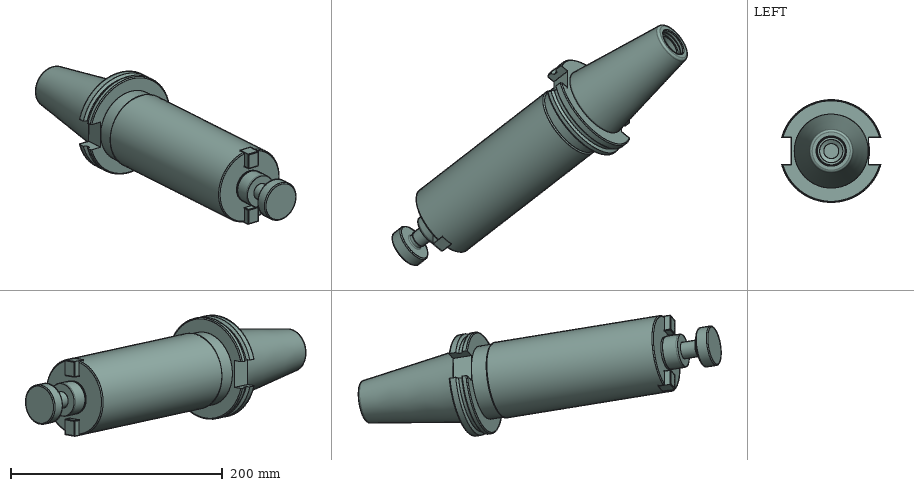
import cadquery as cq
import math


taper_length = 102.0
taper_diameter = 70.0
taper_slope = 7 / 48
taper_end_fillet = 2.5
taper_small_radius = taper_diameter / 2 - taper_slope * taper_length

flange_start = 102.5
flange_end = 121.0
flange_diameter = 97.2
flange_chamfer = 1.0
groove_center = 112.8
groove_floor_diameter = 91.2
groove_floor_width = 3.2
groove_wall_angle = 30

slot_height = 25.8
slot_floor_front = 35.5
slot_floor_back = 38.0

neck_diameter = 70.0
body_start = 135.8
body_end = 305.0
body_diameter = 72.5
body_chamfer = 1.0

pilot_end = 322.0
pilot_diameter = 32.0
pilot_chamfer_length = 1.5
pilot_end_diameter = 31.0
relief_diameter = 31.0
relief_length = 1.8

mouth_diameter = 28.5
recess_diameter = 27.0
recess_depth = 3.5
counterbore_diameter = 26.0
counterbore_depth = 6.5
drawbar_diameter = 22.0
drawbar_depth = 56.5
drawbar_floor_diameter = 14.0
drawbar_cone_angle = 60

key_start = 298.8
key_end = 311.5
key_width = 12.5
key_angles = (0, 180)
key_inner = 21.0
key_outer = 36.0
key_chamfer = 0.7

bolt_head_start = 341.2
bolt_end = 353.5
bolt_head_diameter = 38.0
bolt_head_chamfer = 1.0
bolt_shank_diameter = 16.0
bolt_shank_end = 336.5
bolt_neck_diameter = 14.5
bolt_neck_fillet = 1.0
bolt_insertion = 28.3
bolt_tip = pilot_end - bolt_insertion


def turned(points):
    """Solid of revolution about X from (x, radius) points, closed along the axis."""
    first_x = points[0][0]
    last_x = points[-1][0]
    outline = [(first_x, 0), *points, (last_x, 0)]
    return cq.Workplane("XY").polyline(outline).close().revolve(360, (0, 0), (1, 0))


def make_taper():
    taper = turned([(0, taper_small_radius), (taper_length, taper_diameter / 2)])
    return taper.faces("<X").edges().fillet(taper_end_fillet)


def make_flange():
    rim = flange_diameter / 2
    floor = groove_floor_diameter / 2
    half_floor = groove_floor_width / 2
    half_mouth = half_floor + (rim - floor) * math.tan(math.radians(groove_wall_angle))
    flange = turned([
        (flange_start, rim - flange_chamfer),
        (flange_start + flange_chamfer, rim),
        (groove_center - half_mouth, rim),
        (groove_center - half_floor, floor),
        (groove_center + half_floor, floor),
        (groove_center + half_mouth, rim),
        (flange_end - flange_chamfer, rim),
        (flange_end, rim - flange_chamfer),
    ])
    length = flange_end - flange_start
    for side, floor_distance in ((-1, slot_floor_front), (1, slot_floor_back)):
        slot_depth = flange_diameter / 2 - floor_distance
        slot_center = (flange_start + length / 2, side * (floor_distance + slot_depth / 2), 0)
        flange = flange.cut(cq.Workplane("XY").box(length, slot_depth, slot_height).translate(slot_center))
    return flange


def make_body_and_pilot():
    neck = neck_diameter / 2
    body = body_diameter / 2
    relief = relief_diameter / 2
    pilot = pilot_diameter / 2
    relief_end = body_end + relief_length
    return turned([
        (taper_length, neck),
        (body_start, neck),
        (body_start + body - neck, body),
        (body_end - body_chamfer, body),
        (body_end, body - body_chamfer),
        (body_end, relief),
        (relief_end, relief),
        (relief_end, pilot),
        (pilot_end - pilot_chamfer_length, pilot),
        (pilot_end, pilot_end_diameter / 2),
    ])


def make_drawbar_hole():
    counterbore = counterbore_diameter / 2
    mouth = mouth_diameter / 2
    recess = recess_diameter / 2
    bore = drawbar_diameter / 2
    floor = drawbar_floor_diameter / 2
    cone_length = (bore - floor) / math.tan(math.radians(drawbar_cone_angle))
    return turned([
        (0, mouth),
        (mouth - recess, recess),
        (recess_depth, recess),
        (recess_depth + recess - counterbore, counterbore),
        (counterbore_depth, counterbore),
        (counterbore_depth, bore),
        (drawbar_depth, bore),
        (drawbar_depth + cone_length, floor),
    ])


def key_block(outer):
    """Block with the length and width of a key, from the inner key face out to the given distance."""
    length = key_end - key_start
    height = outer - key_inner
    center = (key_start + length / 2, 0, key_inner + height / 2)
    return cq.Workplane("XY").box(length, key_width, height).translate(center)


def make_key_seat(angle):
    """Cutter for a key seat, open to the outside of the body."""
    return key_block(body_diameter / 2).rotate((0, 0, 0), (1, 0, 0), angle)


def make_key(angle):
    key = key_block(key_outer).edges(">X or (<Z and |X)").chamfer(key_chamfer)
    return key.rotate((0, 0, 0), (1, 0, 0), angle)


def make_bolt():
    shank = bolt_shank_diameter / 2
    neck = bolt_neck_diameter / 2
    head = bolt_head_diameter / 2
    fillet = bolt_neck_fillet
    fillet_middle = (
        bolt_head_start - fillet + fillet * math.sin(math.radians(45)),
        neck + fillet - fillet * math.cos(math.radians(45)),
    )
    return (
        cq.Workplane("XY")
        .moveTo(bolt_tip, 0)
        .lineTo(bolt_tip, shank)
        .lineTo(bolt_shank_end, shank)
        .lineTo(bolt_shank_end, neck)
        .lineTo(bolt_head_start - fillet, neck)
        .threePointArc(fillet_middle, (bolt_head_start, neck + fillet))
        .lineTo(bolt_head_start, head - bolt_head_chamfer)
        .lineTo(bolt_head_start + bolt_head_chamfer, head)
        .lineTo(bolt_end - bolt_head_chamfer, head)
        .lineTo(bolt_end, head - bolt_head_chamfer)
        .lineTo(bolt_end, 0)
        .close()
        .revolve(360, (0, 0), (1, 0))
    )


def make_arbor():
    arbor = make_taper().union(make_body_and_pilot()).union(make_flange())
    arbor = arbor.cut(make_drawbar_hole())
    for angle in key_angles:
        arbor = arbor.cut(make_key_seat(angle))
    return arbor.cut(make_bolt())


arbor = make_arbor()
keys = [make_key(angle) for angle in key_angles]
bolt = make_bolt()

result = cq.Compound.makeCompound([arbor.val(), *[key.val() for key in keys], bolt.val()])